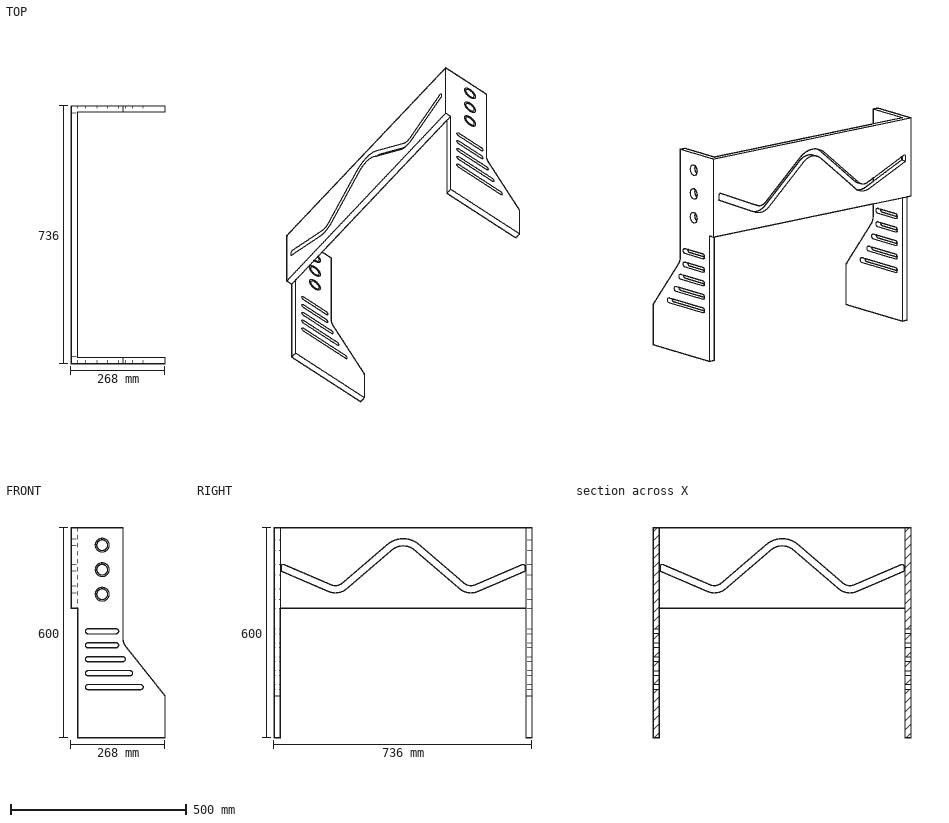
import cadquery as cq
import math

depth = 268.0
width = 736.0
height = 600.0
inner_width = 700.0
sheet = (width - inner_width) / 2

panel_height = 230.0
upper_depth = 148.0
foot_height = 120.0
shoulder_height = 271.0
shoulder_radius = 37.0

hole_x = 88.0
hole_drop = 50.0
hole_pitch = 70.0
hole_count = 3
hole_diameter = 30.0
bore_diameter = 40.0
bore_depth = 0.4

slot_start = 48.0
slot_width = 14.0
slot_base = 145.0
slot_pitch = 40.0
slot_spans = [150.0, 120.0, 99.0, 80.0, 80.0]

wave_width = 20.0
wave_end = (347.5, 113.0)
wave_trough = (186.0, 182.5)
wave_peak_drop = 23.0
peak_radius = 59.5
trough_radius = 40.0
wave_end_radius = 5.0


def panel():
    """Front panel spanning the full width, flush with the top edge."""
    base = cq.Workplane("XY", origin=(0, 0, height - panel_height))
    return base.box(sheet, width, panel_height, centered=(False, True, False))


def leg_plate():
    """One leg at the -Y side, with its outer face on Y = -width / 2."""
    outline = [
        (sheet, 0),
        (depth, 0),
        (depth, foot_height),
        (upper_depth, shoulder_height),
        (upper_depth, height),
        (sheet, height),
    ]
    plate = cq.Workplane("XZ", origin=(0, -width / 2, 0)).polyline(outline).close().extrude(-sheet)
    shoulder = cq.selectors.NearestToPointSelector((upper_depth, -width / 2 + sheet / 2, shoulder_height))
    return plate.edges("|Y").edges(shoulder).fillet(shoulder_radius)


def leg_slots():
    """Cutters for the rounded slots, reaching through both legs."""
    cutters = cq.Workplane("XZ")
    for row, span in enumerate(slot_spans):
        centre = (slot_start + span / 2, slot_base + row * slot_pitch)
        slot = cq.Workplane("XZ").center(*centre).slot2D(span + slot_width, slot_width)
        cutters = cutters.add(slot.extrude(width / 2, both=True))
    return cutters.combine()


def leg_holes():
    """Cutters for the holes; each leg is counterbored on its -Y face."""
    centres = [(hole_x, height - hole_drop - i * hole_pitch) for i in range(hole_count)]
    cutters = cq.Workplane("XZ").pushPoints(centres).circle(hole_diameter / 2).extrude(width / 2, both=True)
    for face_y in (-width / 2, width / 2 - sheet):
        face = cq.Workplane("XZ", origin=(0, face_y, 0)).pushPoints(centres)
        cutters = cutters.union(face.circle(bore_diameter / 2).extrude(-bore_depth))
    return cutters


def wave_edge(side):
    """Corners of one long edge of the zigzag for Y >= 0; side is +1 above, -1 below."""
    peak_z = height - wave_peak_drop
    trough_y, trough_z = wave_trough[0], height - wave_trough[1]
    end_y, end_z = wave_end[0], height - wave_end[1]
    inner_slope = (trough_z - peak_z) / trough_y
    outer_slope = (end_z - trough_z) / (end_y - trough_y)
    inner_rise = side * wave_width / 2 * math.hypot(1, inner_slope)
    outer_rise = side * wave_width / 2 * math.hypot(1, outer_slope)
    shift = (inner_rise - outer_rise) / (outer_slope - inner_slope)
    return [
        (0, peak_z + inner_rise),
        (trough_y + shift, trough_z + inner_rise + inner_slope * shift),
        (end_y, end_z + outer_rise),
    ]


def wave_slot():
    """Cutter for the zigzag slot, with concentric bends."""
    upper = wave_edge(1)
    lower = wave_edge(-1)
    outline = upper + lower[::-1]
    mirrored = [(-y, z) for y, z in outline[-2:0:-1]]
    cutter = cq.Workplane("YZ").polyline(outline + mirrored).close().extrude(sheet)

    half = wave_width / 2
    bends = [
        (upper[0], peak_radius + half),
        (lower[0], peak_radius - half),
    ]
    for sign in (-1, 1):
        bends.append(((sign * upper[1][0], upper[1][1]), trough_radius - half))
        bends.append(((sign * lower[1][0], lower[1][1]), trough_radius + half))
        bends.append(((sign * upper[2][0], upper[2][1]), wave_end_radius))
    for (y, z), radius in bends:
        corner = cq.selectors.NearestToPointSelector((sheet / 2, y, z))
        cutter = cutter.edges("|X").edges(corner).fillet(radius)
    return cutter


near_leg = leg_plate()
far_leg = near_leg.mirror("XZ")
result = panel().union(near_leg).union(far_leg)
result = result.cut(leg_slots()).cut(leg_holes()).cut(wave_slot())